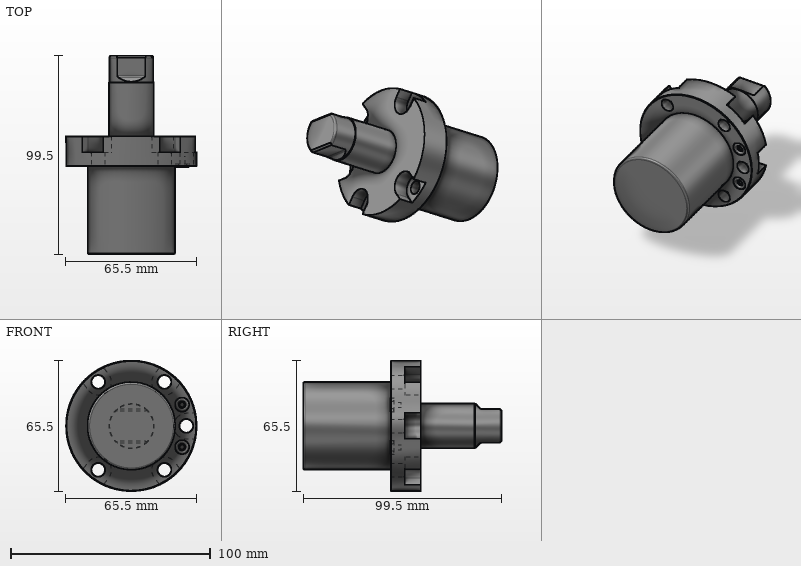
import cadquery as cq
import math

OVERALL_LENGTH = 99.5

FLANGE_DIAMETER = 65.5
FLANGE_THICKNESS = 15.0
FLANGE_CHAMFER = 0.3

SHANK_DIAMETER = 44.0
SHANK_LENGTH = 44.0
SHANK_FILLET = 1.0

SPINDLE_DIAMETER = 22.5
SPINDLE_STEP_CHAMFER = 0.3
END_DIAMETER = 22.0
END_LENGTH = 13.6
END_FILLET = 1.0
FLATS_WIDTH = 17.0
FLATS_LENGTH = 10.5
FLATS_CHAMFER = 1.0
FLATS_FILLET = 1.4

BOLT_CIRCLE_RADIUS = 27.6
BOLT_ANGLE = 53.0
BOLT_ANGLES = (0, BOLT_ANGLE, 180 - BOLT_ANGLE, 180 + BOLT_ANGLE, -BOLT_ANGLE)
BOLT_HOLE_DIAMETER = 6.8
RECESS_WIDTH = 12.9
RECESS_DEPTH = 8.1

PORT_ANGLES = (22.7, -22.7)
PORT_DIAMETER = 2.5
PORT_DEPTH = 5.0
RING_OUTER_DIAMETER = 7.1
RING_SECTION = 1.8
RING_PROTRUSION = 0.4

FLANGE_RADIUS = FLANGE_DIAMETER / 2
SPINDLE_END_Y = OVERALL_LENGTH - SHANK_LENGTH
END_STEP_Y = SPINDLE_END_Y - END_LENGTH
SEAT_DEPTH = RING_SECTION - RING_PROTRUSION


def polar_point(angle):
    """X and Z of a point on the bolt circle."""
    turn = math.radians(angle)
    return BOLT_CIRCLE_RADIUS * math.cos(turn), BOLT_CIRCLE_RADIUS * math.sin(turn)


def cylinder_along_y(angle, diameter, start_y, length):
    """Cylinder on the bolt circle, running from start_y toward +Y."""
    x, z = polar_point(angle)
    return cq.Workplane(
        cq.Solid.makeCylinder(diameter / 2, length, cq.Vector(x, start_y, z), cq.Vector(0, 1, 0))
    )


def turned_blank():
    """Shank, flange and spindle revolved as one piece."""
    shank_radius = SHANK_DIAMETER / 2
    spindle_radius = SPINDLE_DIAMETER / 2
    end_radius = END_DIAMETER / 2
    profile = [
        (0, -SHANK_LENGTH),
        (shank_radius, -SHANK_LENGTH),
        (shank_radius, 0),
        (FLANGE_RADIUS - FLANGE_CHAMFER, 0),
        (FLANGE_RADIUS, FLANGE_CHAMFER),
        (FLANGE_RADIUS, FLANGE_THICKNESS),
        (spindle_radius, FLANGE_THICKNESS),
        (spindle_radius, END_STEP_Y),
        (end_radius, END_STEP_Y + SPINDLE_STEP_CHAMFER),
        (end_radius, SPINDLE_END_Y),
        (0, SPINDLE_END_Y),
    ]
    blank = cq.Workplane("XY").polyline(profile).close().revolve(360, (0, 0, 0), (0, 1, 0))
    blank = blank.faces("<Y").edges().fillet(SHANK_FILLET)
    return blank.faces(">Y").edges().fillet(END_FILLET)


def flat_cutter():
    """Material above the upper flat, with its end chamfer and filleted 45 degree run-out."""
    flat_z = FLATS_WIDTH / 2
    flat_start_y = SPINDLE_END_Y - FLATS_LENGTH
    rise = SPINDLE_DIAMETER / 2 - flat_z
    tangent = FLATS_FILLET * math.tan(math.radians(45 / 2))
    diagonal = tangent * math.cos(math.radians(45))
    sag = FLATS_FILLET * (1 - math.cos(math.radians(45 / 2)))
    arc_middle_y = flat_start_y + tangent - FLATS_FILLET * math.sin(math.radians(45 / 2))
    return (
        cq.Workplane("YZ")
        .workplane(offset=-SPINDLE_DIAMETER / 2)
        .moveTo(SPINDLE_END_Y, flat_z + rise)
        .lineTo(SPINDLE_END_Y, flat_z - FLATS_CHAMFER)
        .lineTo(SPINDLE_END_Y - FLATS_CHAMFER, flat_z)
        .lineTo(flat_start_y + tangent, flat_z)
        .threePointArc((arc_middle_y, flat_z + sag), (flat_start_y - diagonal, flat_z + diagonal))
        .lineTo(flat_start_y - rise, flat_z + rise)
        .close()
        .extrude(SPINDLE_DIAMETER)
    )


def bolt_recess(angle):
    """U-shaped recess in the rear flange face, open radially outward."""
    recess_y = FLANGE_THICKNESS - RECESS_DEPTH
    round_end = cylinder_along_y(angle, RECESS_WIDTH, recess_y, RECESS_DEPTH)
    channel = (
        cq.Workplane("XY")
        .box(FLANGE_RADIUS, RECESS_DEPTH, RECESS_WIDTH, centered=(False, False, True))
        .translate((BOLT_CIRCLE_RADIUS, recess_y, 0))
        .rotate((0, 0, 0), (0, 1, 0), -angle)
    )
    return round_end.union(channel)


def make_holder():
    holder = turned_blank()

    upper_cutter = flat_cutter()
    holder = holder.cut(upper_cutter).cut(upper_cutter.mirror("XY"))

    for angle in BOLT_ANGLES:
        holder = holder.cut(cylinder_along_y(angle, BOLT_HOLE_DIAMETER, 0, FLANGE_THICKNESS))
        holder = holder.cut(bolt_recess(angle))

    for angle in PORT_ANGLES:
        holder = holder.cut(cylinder_along_y(angle, RING_OUTER_DIAMETER, 0, SEAT_DEPTH))
        holder = holder.cut(cylinder_along_y(angle, PORT_DIAMETER, 0, PORT_DEPTH))
    return holder


def make_o_ring(angle):
    """O-ring resting on the floor of its seat and standing proud of the flange."""
    x, z = polar_point(angle)
    section_radius = RING_SECTION / 2
    center = cq.Vector(x, SEAT_DEPTH - section_radius, z)
    center_radius = RING_OUTER_DIAMETER / 2 - section_radius
    return cq.Solid.makeTorus(center_radius, section_radius, center, cq.Vector(0, 1, 0))


holder = make_holder()
o_rings = [make_o_ring(angle) for angle in PORT_ANGLES]

result = cq.Compound.makeCompound([holder.val(), *o_rings])